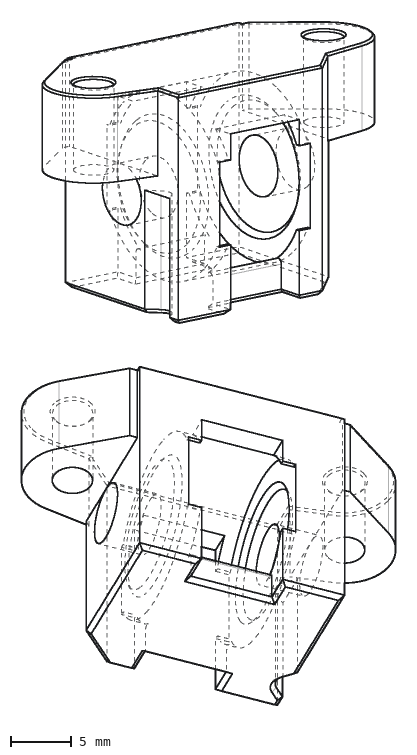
import math
import cadquery as cq

width = 15.0
length = 32.38
height = 19.5
body_length = 18.07
corner_cut = 3.05
top_chamfer = 0.2
bottom_chamfer = 0.4

hole_spacing = 24.0
hole_diameter = 3.3
countersink_diameter = hole_diameter + 2 * top_chamfer
countersink_angle = 90
ear_thickness = 7.4
ear_setback = 0.5
ear_shoulder_y = 9.7
ear_root_x = 4.95
ear_root_y = 8.1

axle_z = height - 10.0
axle_diameter = 5.15
chamber_diameter = 16.0
chamber_length = 9.45
window_height = 7.22
recess_diameter = 12.0
recess_depth = 0.5

slot_width = 7.15
slot_depth = 2.4
slot_top = height - 4.18
lip_radius = 0.4

groove_x = 4.7
groove_width = 3.3
groove_top = height - 9.0
groove_radius = 1.0


def tangent_point(center_x, center_y, radius, x, y, side):
    """Point where a line from (x, y) touches a circle; side (+1 or -1) picks the tangent."""
    distance = math.hypot(x - center_x, y - center_y)
    angle = math.atan2(y - center_y, x - center_x) + side * math.acos(radius / distance)
    return center_x + radius * math.cos(angle), center_y + radius * math.sin(angle)


def make_body():
    body = cq.Workplane("XY").box(width, body_length, height, centered=(True, True, False))
    return body.edges("|Z and >X and >Y").chamfer(corner_cut)


def make_ear():
    """Ear at the +Y end."""
    hole_y = hole_spacing / 2
    radius = length / 2 - hole_y
    left_x = ear_setback - width / 2
    left_touch = tangent_point(0, hole_y, radius, left_x, ear_shoulder_y, -1)
    right_touch = tangent_point(0, hole_y, radius, ear_root_x, ear_root_y, 1)
    return (
        cq.Workplane("XY", origin=(0, 0, height - ear_thickness))
        .moveTo(left_x, ear_root_y)
        .lineTo(left_x, ear_shoulder_y)
        .lineTo(*left_touch)
        .threePointArc((0, length / 2), right_touch)
        .lineTo(ear_root_x, ear_root_y)
        .close()
        .extrude(ear_thickness)
    )


def y_cylinder(diameter, cylinder_length):
    """Cylinder on the axle line, centred on Y = 0."""
    plane = cq.Workplane("XZ", origin=(0, 0, axle_z))
    return plane.circle(diameter / 2).extrude(cylinder_length / 2, both=True)


def make_chamber():
    """Wheel chamber with a window through both X faces and a conical recess at each end."""
    window = cq.Workplane("XY", origin=(0, 0, axle_z)).box(width, chamber_length, window_height)
    recess = y_cylinder(recess_diameter, chamber_length + 2 * recess_depth)
    recess = recess.edges().chamfer(recess_depth)
    return y_cylinder(chamber_diameter, chamber_length).union(window).union(recess)


def make_slot(side):
    """Slot in the -X (side = -1) or +X (side = +1) face."""
    center_x = side * (width - slot_depth) / 2
    plane = cq.Workplane("XY", origin=(center_x, 0, 0))
    return plane.box(slot_depth, slot_width, slot_top, centered=(True, True, False))


def make_groove():
    """Groove with 45-degree sides and a rounded bottom."""
    half_width = groove_width / 2
    tip_y = half_width - body_length / 2
    groove = (
        cq.Workplane("XY")
        .moveTo(groove_x - half_width, -body_length / 2)
        .lineTo(groove_x, tip_y)
        .lineTo(groove_x + half_width, -body_length / 2)
        .close()
        .extrude(groove_top)
    )
    return groove.edges("|Z and >Y").fillet(groove_radius)


ear = make_ear()
part = make_body().union(ear).union(ear.mirror("XZ"))
part = part.faces(">Z").edges().chamfer(top_chamfer)

part = part.cut(make_groove())
for side in (-1, 1):
    part = part.cut(make_slot(side))
part = part.faces("<Z").edges().chamfer(bottom_chamfer)

part = part.cut(make_chamber()).cut(y_cylinder(axle_diameter, body_length))

lip_x = width / 2 - slot_depth
lip_z = axle_z - math.sqrt((chamber_diameter / 2) ** 2 - lip_x**2)
for side in (-1, 1):
    lip = cq.selectors.NearestToPointSelector((side * lip_x, 0, lip_z))
    part = part.edges(lip).fillet(lip_radius)

hole_points = [(0, -hole_spacing / 2), (0, hole_spacing / 2)]
part = (
    part.faces(">Z")
    .workplane(origin=(0, 0, height))
    .pushPoints(hole_points)
    .cskHole(hole_diameter, countersink_diameter, countersink_angle)
)

result = part